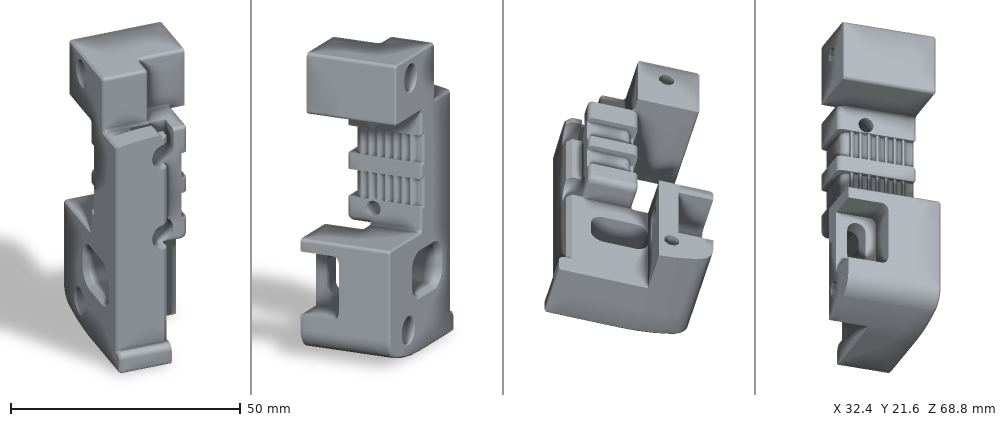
import cadquery as cq
import math

width = 32.4
depth = 21.6
height = 68.75
front_chamfer = 0.4
edge_radius = 0.75
inner_radius = 0.6

base_top = 27.15
head_left = 3.1
head_right = 22.55
head_bottom = 54.8
neck_left = 15.95
column_right = 30.5
shoulder = 55.6
foot_height = 4.8
foot_radius = 1.45
foot_corner_radius = 0.6
corner_radius = 4.8
corner_height = 6.4
bow_end = 15.5

head_back_right = 17.05
head_front_depth = 10.7
neck_depth = 18.15
neck_right = 27.2
neck_bottom = 27.4
column_depth = 12.3
rear_plate_right = 12.25
neck_side_radius = 1.1
neck_underside_radius = 1.5
column_chamfer = 1.1

channel_spans = ((42.7, 49.15), (32.7, 39.2))
channel_floor = 17.2
channel_depth = channel_floor - neck_left
channel_corner = 1.6
channel_back = 16.7
tooth_pitch = 2.0
tooth_count = 7
tooth_tip_x = 16.35
tooth_ramp = 0.8
tooth_tip_width = 0.35
first_tooth = 1.85

cross_hole_y = 11.6
cross_hole_heights = (51.0, 31.0)
cross_hole_radius = 1.7
head_pocket_radius = 3.15
pocket_ramp_start = 8.1
pocket_ramp_end = 6.05
pocket_ramp_drop = 2.05

screw_holes = ((10.6, 63.95), (9.4, 6.45))
bore_radius = 3.1
bore_chamfer = 0.2
bore_depth = 10.3
bore_step = 0.3
screw_clearance = 3.3

window_left = 12.25
window_right = 25.15
window_bottom = 13.35
window_top = 22.15
window_radius = 2.95
window_chamfer = 1.1

recess_bottom = 9.75
recess_top = 24.3
recess_depth = 7.85
recess_radius = 1.5
slot_y = 16.85
slot_bottom = 12.45
slot_top = 22.5
slot_width = 4.25

lug_left = 25.7
lug_depth = 10.9
lug_rise = 1.0


def box(x0, x1, y0, y1, z0, z1):
    """Box between two opposite corners."""
    return cq.Workplane("XY").box(x1 - x0, y1 - y0, z1 - z0, centered=False).translate((x0, y0, z0))


def cylinder_x(radius, x0, x1, y, z):
    """Round bar along X."""
    return cq.Workplane("YZ", origin=(x0, y, z)).circle(radius).extrude(x1 - x0)


def front_outline():
    """Closed front outline; its lower left corner is two tangent arcs."""
    dx = bow_end - corner_radius
    bow_radius = (dx**2 + corner_height**2 - corner_radius**2) / (2 * (corner_height - corner_radius))
    tilt = math.atan2(dx, bow_radius - corner_height)

    def corner_point(angle):
        return (corner_radius - corner_radius * math.sin(angle), corner_height - corner_radius * math.cos(angle))

    def bow_point(angle):
        return (bow_end - bow_radius * math.sin(angle), bow_radius - bow_radius * math.cos(angle))

    return (
        cq.Workplane("XZ")
        .moveTo(0, corner_height)
        .threePointArc(corner_point((tilt + math.pi / 2) / 2), corner_point(tilt))
        .threePointArc(bow_point(tilt / 2), (bow_end, 0))
        .lineTo(width, 0)
        .lineTo(width, foot_height)
        .lineTo(column_right, foot_height)
        .lineTo(column_right, shoulder)
        .lineTo(head_right, shoulder)
        .lineTo(head_right, height)
        .lineTo(head_left, height)
        .lineTo(head_left, head_bottom)
        .lineTo(neck_left, head_bottom)
        .lineTo(neck_left, base_top)
        .lineTo(0, base_top)
        .close()
    )


def round_edges_at(body, points, radius):
    """Fillet the depthwise outline edges that pass through the given XZ points."""
    for x, z in points:
        near = cq.selectors.BoxSelector((x - 0.1, -0.7, z - 0.1), (x + 0.1, depth + 0.7, z + 0.1), boundingbox=True)
        body = body.edges(near).fillet(radius)
    return body


def make_blank():
    """Full-depth outline with rounded edges, channel mouths and a chamfered front."""
    blank = front_outline().extrude(-depth)
    outer = (
        (0, base_top), (head_left, head_bottom), (head_left, height), (head_right, height),
    )
    inner = ((neck_left, head_bottom), (neck_left, base_top))
    blank = round_edges_at(blank, outer, edge_radius)
    blank = round_edges_at(blank, inner, inner_radius)
    blank = round_edges_at(blank, ((width, foot_height),), foot_radius)
    blank = round_edges_at(blank, ((width, 0),), foot_corner_radius)
    for bottom, top in channel_spans:
        blank = blank.cut(box(0, channel_floor, 0, first_tooth, bottom, top))
    return blank.faces("<Y").edges().chamfer(front_chamfer)


def neck_core():
    """Neck with its rear edges rounded, and the fillet under the head that follows it."""
    core = box(neck_left, neck_right, 0, neck_depth, neck_bottom, shoulder)
    core = core.faces("<Z").edges(">Y").fillet(neck_underside_radius)
    core = core.edges("<X").edges("not (<Y or >Z)").fillet(neck_side_radius)
    core = core.edges("|Z and >X and >Y").fillet(neck_side_radius)
    core = core.faces(">Z").edges(">Y or >X").fillet(edge_radius)
    head_fillet = box(
        neck_left - inner_radius, neck_left, 0, neck_depth - neck_side_radius,
        head_bottom - inner_radius, head_bottom,
    )
    return core.union(head_fillet)


def rear_cutters():
    """Volumes removed from the back of the blank, leaving the neck standing."""
    beside_head = box(head_back_right, width, head_front_depth, depth, shoulder, height)
    beside_head = beside_head.edges("|Z and <X and <Y").fillet(edge_radius)
    below_head = box(rear_plate_right, width, column_depth, depth, 0, head_bottom)
    below_shoulder = box(head_back_right, width, column_depth, depth, 0, shoulder)
    return (beside_head, below_head.union(below_shoulder).cut(neck_core()))


def edges_inside(body, x_span, y_span, z_span):
    """Edges that lie wholly inside a box given by its three spans, with a small margin."""
    low, high = zip(*((min(span) - 0.035, max(span) + 0.035) for span in (x_span, y_span, z_span)))
    return body.edges(cq.selectors.BoxSelector(low, high, boundingbox=True))


def soften_rear(body):
    """Round the rim and the foot of the head's rear step and bevel the column's rear corner."""
    corner = (column_right,) * 2, (column_depth,) * 2, (foot_height, shoulder)
    body = edges_inside(body, *corner).chamfer(column_chamfer)
    head_rim = (head_back_right, head_right), (head_front_depth, depth), (height,) * 2
    body = edges_inside(body, *head_rim).fillet(edge_radius)
    head_foot = (head_back_right, head_right), (head_front_depth, neck_depth), (shoulder,) * 2
    return edges_inside(body, *head_foot).edges("not >Y").fillet(inner_radius)


def cut_channels(body):
    """Wrap each channel round the neck's rear left corner and add its teeth."""
    for bottom, top in channel_spans:
        around = box(0, width, 0, depth, bottom, top)
        core = box(channel_floor, width, 0, channel_back, bottom, top)
        core = core.edges("|Z and <X and >Y").fillet(channel_corner)
        body = body.cut(around.cut(core))
        for i in range(tooth_count):
            y = first_tooth + i * tooth_pitch
            tooth = (
                cq.Workplane("XY", origin=(0, 0, bottom))
                .polyline([
                    (channel_floor + channel_depth, y),
                    (channel_floor, y),
                    (tooth_tip_x, y + tooth_ramp),
                    (tooth_tip_x, y + tooth_ramp + tooth_tip_width),
                    (channel_floor + channel_depth, y + tooth_ramp + tooth_tip_width),
                ])
                .close()
                .extrude(top - bottom)
            )
            body = body.union(tooth)
    return body


def make_lug():
    """Latch lug whose top rises in an arc from the front to the back."""
    top = shoulder + lug_rise
    middle = (lug_depth / 2, shoulder + 0.75 * lug_rise)
    lug = (
        cq.Workplane("YZ", origin=(lug_left, 0, 0))
        .moveTo(front_chamfer, shoulder - edge_radius)
        .lineTo(front_chamfer, shoulder)
        .threePointArc(middle, (lug_depth, top))
        .lineTo(lug_depth, shoulder - edge_radius)
        .close()
        .extrude(column_right - lug_left)
    )
    lug = lug.edges("|Z and <X").chamfer(front_chamfer)
    return lug.edges("|X").edges(">Z").chamfer(edge_radius)


def cross_hole_cutters():
    """Cross holes with screw head pockets; the upper pocket opens at the shoulder."""
    cutters = []
    for z in cross_hole_heights:
        cutters.append(cylinder_x(cross_hole_radius, 0, width, cross_hole_y, z))
        cutters.append(cylinder_x(head_pocket_radius, head_right, width, cross_hole_y, z))
    upper = cross_hole_heights[0]
    mouth = (
        cq.Workplane("YZ", origin=(head_right, 0, 0))
        .moveTo(cross_hole_y + head_pocket_radius, upper)
        .lineTo(cross_hole_y + head_pocket_radius, shoulder)
        .lineTo(pocket_ramp_end, shoulder)
        .lineTo(pocket_ramp_start, shoulder - pocket_ramp_drop)
        .lineTo(cross_hole_y - head_pocket_radius, upper)
        .close()
        .extrude(neck_right - head_right)
    )
    cutters.append(mouth)
    return cutters


def screw_hole_cutters():
    """Bores that narrow through a slot and a square step to an octagonal hole."""
    slot_end = bore_depth + bore_step
    square_end = slot_end + bore_step
    half = screw_clearance / 2
    octagon_diameter = screw_clearance / math.cos(math.pi / 8)
    cutters = []
    for x, z in screw_holes:
        front = cq.Workplane("XZ", origin=(x, 0, z))
        bore = front.circle(bore_radius).extrude(-bore_depth)
        mouth = cq.Workplane("XY").add(
            cq.Solid.makeCone(
                bore_radius + bore_chamfer, bore_radius, bore_chamfer, cq.Vector(x, 0, z), cq.Vector(0, 1, 0)
            )
        )
        slot = front.circle(bore_radius).extrude(-slot_end)
        slot = slot.intersect(box(x - half, x + half, 0, depth, 0, height))
        square = box(x - half, x + half, 0, square_end, z - half, z + half)
        octagon = front.transformed(rotate=(0, 0, 22.5)).polygon(8, octagon_diameter).extrude(-depth)
        cutters += [bore, mouth, slot, square, octagon]
    return cutters


def window_cutter():
    """Rounded window through the lower block, with a chamfered front rim."""
    window = box(window_left, window_right, 0, depth, window_bottom, window_top)
    window = window.edges("|Y").fillet(window_radius)
    rim = box(
        window_left - window_chamfer, window_right + window_chamfer, 0, window_chamfer,
        window_bottom - window_chamfer, window_top + window_chamfer,
    )
    rim = rim.edges("|Y").fillet(window_radius + window_chamfer)
    rim = rim.faces(">Y").edges().chamfer(window_chamfer * 0.999)
    return window.union(rim)


def side_recess_cutters():
    """Recess in the left side, open to the back, and the slot through its wall."""
    recess = box(0, recess_depth, column_depth, depth, recess_bottom, recess_top)
    recess = recess.edges("|X and <Y").fillet(recess_radius)
    slot = (
        cq.Workplane("YZ", origin=(0, slot_y, (slot_bottom + slot_top) / 2))
        .slot2D(slot_top - slot_bottom, slot_width, 90)
        .extrude(width)
    )
    return (recess, slot)


body = make_blank()
for cutter in rear_cutters():
    body = body.cut(cutter)
result = cut_channels(soften_rear(body))
for cutter in cross_hole_cutters():
    result = result.cut(cutter)
result = result.union(make_lug())
for cutter in screw_hole_cutters():
    result = result.cut(cutter)
result = result.cut(window_cutter())
for cutter in side_recess_cutters():
    result = result.cut(cutter)